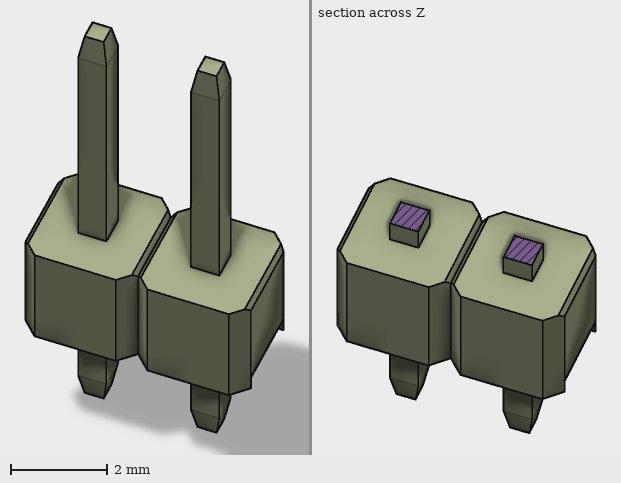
import cadquery as cq
import math

PIN_COUNT = 2
PITCH = 2.54

BODY_DEPTH = 2.5
BODY_HEIGHT = 2.5
CORNER_FACE_WIDTH = 0.5
TOP_CHAMFER = 0.1

CHANNEL_WIDTH = 1.75
CHANNEL_HEIGHT = 0.33

PIN_WIDTH = 0.64
PIN_ABOVE_BODY = 6.0
PIN_BELOW_BODY = 2.5
TIP_LENGTH = 0.6
TIP_ANGLE = 10

ROW_LENGTH = PIN_COUNT * PITCH
PIN_TOP = BODY_HEIGHT + PIN_ABOVE_BODY
PIN_BOTTOM = -PIN_BELOW_BODY
CORNER_CHAMFER = CORNER_FACE_WIDTH / math.sqrt(2)
SHANK_LENGTH = PIN_TOP - PIN_BOTTOM - 2 * TIP_LENGTH
TIP_INSET = TIP_LENGTH * math.tan(math.radians(TIP_ANGLE))
TIP_WIDTH = PIN_WIDTH - 2 * TIP_INSET


def make_block():
    """One housing block, centred on the Z axis and standing on Z = 0."""
    block = cq.Workplane("XY").box(PITCH, BODY_DEPTH, BODY_HEIGHT, centered=(True, True, False))
    block = block.faces(">Z").edges("|Y").chamfer(TOP_CHAMFER)
    half_x = PITCH / 2
    half_y = BODY_DEPTH / 2
    flat_x = half_x - CORNER_CHAMFER
    flat_y = half_y - CORNER_CHAMFER
    octagon = (
        cq.Workplane("XY")
        .moveTo(-flat_x, -half_y)
        .lineTo(flat_x, -half_y)
        .lineTo(half_x, -flat_y)
        .lineTo(half_x, flat_y)
        .lineTo(flat_x, half_y)
        .lineTo(-flat_x, half_y)
        .lineTo(-half_x, flat_y)
        .lineTo(-half_x, -flat_y)
        .close()
        .extrude(BODY_HEIGHT)
    )
    return block.intersect(octagon)


def make_tip(base_z, end_z):
    """Square tip tapering from the shank at base_z to the pin end at end_z."""
    return (
        cq.Workplane("XY", origin=(0, 0, base_z))
        .rect(PIN_WIDTH, PIN_WIDTH)
        .workplane(offset=end_z - base_z)
        .rect(TIP_WIDTH, TIP_WIDTH)
        .loft(ruled=True)
    )


def make_pin():
    """Square pin on the Z axis with a tapered tip at both ends."""
    shank_bottom = PIN_BOTTOM + TIP_LENGTH
    shank_top = PIN_TOP - TIP_LENGTH
    shank = (
        cq.Workplane("XY", origin=(0, 0, shank_bottom))
        .rect(PIN_WIDTH, PIN_WIDTH)
        .extrude(SHANK_LENGTH)
    )
    return shank.union(make_tip(shank_top, PIN_TOP)).union(make_tip(shank_bottom, PIN_BOTTOM))


def make_channel():
    """Cutter for the channel along the underside of the whole row."""
    return cq.Workplane("XY").box(
        ROW_LENGTH, CHANNEL_WIDTH, CHANNEL_HEIGHT, centered=(True, True, False)
    )


pin_positions = [(i - (PIN_COUNT - 1) / 2) * PITCH for i in range(PIN_COUNT)]

housing = cq.Workplane("XY")
for x in pin_positions:
    housing = housing.union(make_block().translate((x, 0, 0)))
housing = housing.cut(make_channel())

result = housing
for x in pin_positions:
    result = result.union(make_pin().translate((x, 0, 0)))